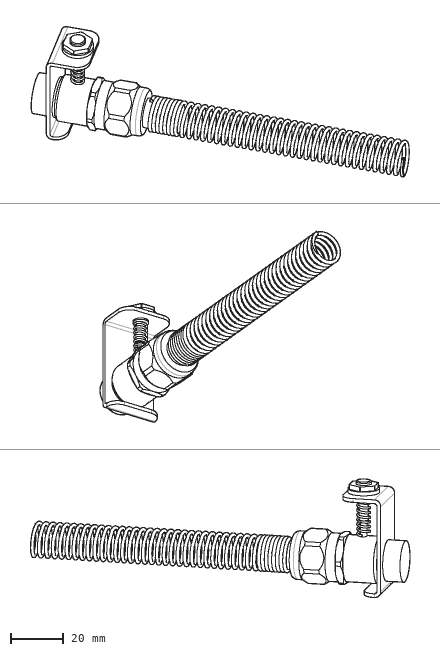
import cadquery as cq
import math


PIN_DIA = 15.8
SLEEVE_DIA = 18.0
SLEEVE_START = 9.1
SLEEVE_CHAMFER = 1.0
SLEEVE_END = 22.0

LOCK_NUT_END = 25.05
LOCK_NUT_FLATS = 18.5
LOCK_NUT_CORNER_DIA = 20.5
LOCK_NUT_CONE_LENGTH = 0.6
LOCK_NUT_TURN = 0.0

COLLAR_DIA = 18.5
UNION_NUT_START = 28.9
UNION_NUT_END = 39.1
UNION_NUT_FLATS = 19.0
UNION_NUT_CORNER_DIA = 21.0
UNION_NUT_CONE_LENGTH = 2.1
UNION_NUT_TURN = 20.5
COLLAR_ROUND_START = 41.2
COLLAR_END = 43.0
COLLAR_NOSE_DIA = 17.0
COLLAR_ROUND_RADIUS = 2.5

NECK_DIA = 11.4
SPRING_WIRE_DIA = 1.4
SPRING_MEAN_RADIUS = 6.25
SPRING_START = 45.0
CLOSED_TURNS = 8
OPEN_TURNS = 32.875
OPEN_PITCH = 2.7
OVERALL_LENGTH = 145.27
OPEN_COIL_START = OVERALL_LENGTH - OPEN_TURNS * OPEN_PITCH
CLOSED_PITCH = (OPEN_COIL_START - SPRING_START) / CLOSED_TURNS

SHEET_THICKNESS = 1.5
BRACKET_WIDTH = 22.0
BRACKET_X = 6.75
BRACKET_BOTTOM = -12.0
BRACKET_TOP = 26.1
BEND_RADIUS = 2.5
TOP_FLANGE_END = 22.6
BOTTOM_FLANGE_END = 14.25
FLANGE_CORNER_RADIUS = 5.0

SCREW_X = 16.1
SCREW_DIA = 6.0
SCREW_TOP = 30.6
SCREW_CHAMFER = 0.4
SCREW_BOTTOM = 24.0
SCREW_CONE_END = 23.5
WASHER_DIA = 12.0
WASHER_HEIGHT = 1.45
NUT_FLATS = 10.0
NUT_CORNER_DIA = 11.4
NUT_HEIGHT = 1.85
GUIDE_DIA = 3.5
GUIDE_STEP_Z = 15.2
GUIDE_TIP_DIA = 2.5
RETURN_WIRE_DIA = 0.8
RETURN_MEAN_RADIUS = 2.25
RETURN_START = 9.5
RETURN_PITCH = 1.84
RETURN_TURNS = 7.95


def revolved(points):
    """Solid of revolution about X from (x, radius) points, closed along the axis."""
    first_x = points[0][0]
    last_x = points[-1][0]
    outline = [(first_x, 0)] + points + [(last_x, 0)]
    return cq.Workplane("XY").polyline(outline).close().revolve(360, (0, 0, 0), (1, 0, 0))


def cylinder_x(start, end, diameter):
    return revolved([(start, diameter / 2), (end, diameter / 2)])


def cylinder_z(bottom, top, diameter):
    return cq.Workplane("XY", origin=(SCREW_X, 0, bottom)).circle(diameter / 2).extrude(top - bottom)


def across_corners(flats):
    """Corner-to-corner size of a hexagon with the given size across flats."""
    return flats / math.cos(math.pi / 6)


def hexagon_nut(start, end, flats, corner_dia, end_dia, cone_length, turn):
    """Hexagon along X with its corners turned off and both ends coned down to end_dia."""
    outline = cq.Workplane("YZ", origin=(start, 0, 0)).polygon(6, across_corners(flats))
    hexagon = outline.extrude(end - start)
    hexagon = hexagon.rotate((0, 0, 0), (1, 0, 0), -turn)
    envelope = revolved([
        (start, end_dia / 2),
        (start + cone_length, corner_dia / 2),
        (end - cone_length, corner_dia / 2),
        (end, end_dia / 2),
    ])
    return hexagon.intersect(envelope)


def coil(mean_radius, wire_dia, pitch, turns):
    """Left-handed coil rising from Z = 0 and starting on +X."""
    path = cq.Wire.makeHelix(pitch, pitch * turns, mean_radius, lefthand=True)
    section = cq.Workplane("XZ").center(mean_radius, 0).circle(wire_dia / 2)
    return section.sweep(cq.Workplane(obj=path), isFrenet=True)


def make_fitting():
    """Everything solid on the X axis: pin, sleeve, lock nut, collar, union nut and neck."""
    sleeve = revolved([
        (SLEEVE_START, SLEEVE_DIA / 2 - SLEEVE_CHAMFER),
        (SLEEVE_START + SLEEVE_CHAMFER, SLEEVE_DIA / 2),
        (SLEEVE_END, SLEEVE_DIA / 2),
    ])
    lock_nut = hexagon_nut(
        SLEEVE_END, LOCK_NUT_END, LOCK_NUT_FLATS, LOCK_NUT_CORNER_DIA,
        COLLAR_DIA, LOCK_NUT_CONE_LENGTH, LOCK_NUT_TURN,
    )
    union_nut = hexagon_nut(
        UNION_NUT_START, UNION_NUT_END, UNION_NUT_FLATS, UNION_NUT_CORNER_DIA,
        COLLAR_DIA, UNION_NUT_CONE_LENGTH, UNION_NUT_TURN,
    )
    collar = (
        cq.Workplane("XY")
        .moveTo(LOCK_NUT_END, 0)
        .lineTo(LOCK_NUT_END, COLLAR_DIA / 2)
        .lineTo(COLLAR_ROUND_START, COLLAR_DIA / 2)
        .radiusArc((COLLAR_END, COLLAR_NOSE_DIA / 2), COLLAR_ROUND_RADIUS)
        .lineTo(COLLAR_END, 0)
        .close()
        .revolve(360, (0, 0, 0), (1, 0, 0))
    )
    pin = cylinder_x(0, SLEEVE_START, PIN_DIA)
    neck = cylinder_x(COLLAR_END, OPEN_COIL_START, NECK_DIA)
    return pin.union(sleeve).union(lock_nut).union(collar).union(union_nut).union(neck)


def make_hose_spring():
    """Closed coils on the neck, then open coils ground flat at the far end."""
    closed_length = CLOSED_PITCH * CLOSED_TURNS
    closed_coils = coil(SPRING_MEAN_RADIUS, SPRING_WIRE_DIA, CLOSED_PITCH, CLOSED_TURNS)
    open_coils = coil(SPRING_MEAN_RADIUS, SPRING_WIRE_DIA, OPEN_PITCH, OPEN_TURNS)
    open_coils = open_coils.translate((0, 0, closed_length))
    grinding_size = 4 * SPRING_MEAN_RADIUS
    ground_off = (
        cq.Workplane("XY", origin=(0, 0, OVERALL_LENGTH - SPRING_START))
        .rect(grinding_size, grinding_size)
        .extrude(OPEN_PITCH)
    )
    spring = closed_coils.union(open_coils.cut(ground_off))
    spring = spring.rotate((0, 0, 0), (0, 1, 0), 90).rotate((0, 0, 0), (1, 0, 0), 180)
    return spring.translate((SPRING_START, 0, 0))


def bracket_block(start, end, bottom, top, corner_radius):
    """Block across the bracket's width with its two -X edges rounded."""
    block = cq.Workplane("XY").box(end - start, BRACKET_WIDTH, top - bottom, centered=(False, True, False))
    return block.translate((start, 0, bottom)).edges("|Y and <X").fillet(corner_radius)


def make_bracket():
    """Sheet bent into a C: a long top flange, an upright wall and a short bottom flange."""
    outside = bracket_block(BRACKET_X, TOP_FLANGE_END, BRACKET_BOTTOM, BRACKET_TOP, BEND_RADIUS)
    inside = bracket_block(
        BRACKET_X + SHEET_THICKNESS,
        TOP_FLANGE_END,
        BRACKET_BOTTOM + SHEET_THICKNESS,
        BRACKET_TOP - SHEET_THICKNESS,
        BEND_RADIUS - SHEET_THICKNESS,
    )
    shortening = cq.Workplane("XY").box(
        TOP_FLANGE_END - BOTTOM_FLANGE_END, BRACKET_WIDTH, SHEET_THICKNESS, centered=(False, True, False))
    shortening = shortening.translate((BOTTOM_FLANGE_END, 0, BRACKET_BOTTOM))
    bracket = outside.cut(inside).cut(shortening)
    for flange_end in (TOP_FLANGE_END, BOTTOM_FLANGE_END):
        end_edges = cq.selectors.BoxSelector(
            (flange_end - SHEET_THICKNESS, -BRACKET_WIDTH, BRACKET_BOTTOM),
            (flange_end + SHEET_THICKNESS, BRACKET_WIDTH, BRACKET_TOP))
        bracket = bracket.edges("|Z").edges(end_edges).fillet(FLANGE_CORNER_RADIUS)
    return bracket


def make_screw():
    """Threaded stub through the top flange with washer, nut and a stepped guide below."""
    washer_top = BRACKET_TOP + WASHER_HEIGHT
    nut_top = washer_top + NUT_HEIGHT
    stub = cylinder_z(SCREW_BOTTOM, SCREW_TOP, SCREW_DIA).faces(">Z").chamfer(SCREW_CHAMFER)
    washer = cylinder_z(BRACKET_TOP, washer_top, WASHER_DIA)
    nut = (
        cq.Workplane("XY", origin=(SCREW_X, 0, washer_top))
        .polygon(6, across_corners(NUT_FLATS))
        .extrude(NUT_HEIGHT)
        .rotate((SCREW_X, 0, 0), (SCREW_X, 0, 1), 30)
    )
    nut = nut.intersect(cylinder_z(washer_top, nut_top, NUT_CORNER_DIA))
    cone = (
        cq.Workplane("XY", origin=(SCREW_X, 0, SCREW_CONE_END))
        .circle(GUIDE_DIA / 2)
        .workplane(offset=SCREW_BOTTOM - SCREW_CONE_END)
        .circle(SCREW_DIA / 2)
        .loft()
    )
    guide = cylinder_z(GUIDE_STEP_Z, SCREW_CONE_END, GUIDE_DIA)
    tip = cylinder_z(0, GUIDE_STEP_Z, GUIDE_TIP_DIA)
    return stub.union(washer).union(nut).union(cone).union(guide).union(tip)


def make_return_spring():
    """Coil standing around the guide, its top end sunk into the screw's stub."""
    spring = coil(RETURN_MEAN_RADIUS, RETURN_WIRE_DIA, RETURN_PITCH, RETURN_TURNS)
    return spring.rotate((0, 0, 0), (0, 0, 1), 90).translate((SCREW_X, 0, RETURN_START))


result = (
    make_fitting()
    .union(make_bracket())
    .union(make_screw())
    .union(make_return_spring())
    .union(make_hose_spring())
)